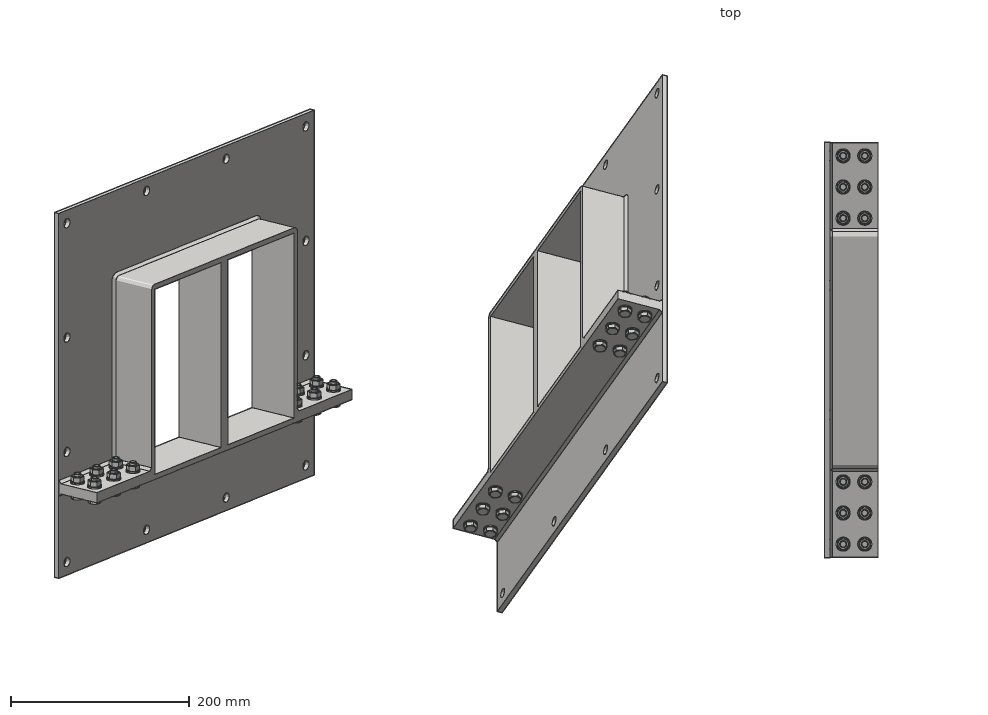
import cadquery as cq
import math

plate_width = 465.0
plate_height = 430.0
sheet = 6.0
total_depth = 60.0

frame_half_width = 132.5
frame_bottom = 106.0
frame_top = 330.0
rib_width = 2 * sheet
window_half_width = frame_half_width - sheet
window_top = frame_top - sheet
window_width = window_half_width - rib_width / 2

flange_half_length = 232.0
flange_top = frame_bottom + sheet
flange_bottom = frame_bottom - sheet
weld_leg = 3.3

mount_hole_diameter = 10.5
mount_hole_edge = 15.5
mount_hole_pitch_z = 135.0

bolt_pitch_x = 24.0
bolt_pitch_y = 35.0
bolt_diameter = 8.0
bolt_tip_diameter = 6.5
bolt_tip_length = 3.3
washer_diameter = 16.0
washer_thickness = 1.6
hex_across_flats = 13.0
hex_face_diameter = 11.5
hex_chamfer_angle = 20.0
nut_height = 6.5
head_height = 5.0


def box(x_range, y_range, z_range):
    """Box spanning the given (low, high) ranges."""
    lows, highs = zip(x_range, y_range, z_range)
    size = [high - low for low, high in zip(lows, highs)]
    return cq.Workplane("XY").box(*size, centered=False).translate(lows)


def face_plate():
    return box((0, sheet), (-plate_width / 2, plate_width / 2), (0, plate_height))


def frame_block():
    """Solid frame with rounded upper corners and a fillet weld around it behind the plate."""
    y_range = (-frame_half_width, frame_half_width)
    block = box((0, total_depth), y_range, (frame_bottom, frame_top))
    block = block.edges("|X and >Z").fillet(sheet)
    outline = block.faces("<X").wires().translate((sheet, 0, 0))
    weld = outline.toPending().offset2D(weld_leg).extrude(weld_leg, taper=45)
    return block.union(weld)


def windows():
    """Two openings left and right of the centre rib."""
    centre_z = (frame_bottom + window_top) / 2
    centre_y = (rib_width + window_width) / 2
    return (
        cq.Workplane("YZ", origin=(0, 0, centre_z))
        .pushPoints([(-centre_y, 0), (centre_y, 0)])
        .rect(window_width, window_top - frame_bottom)
        .extrude(total_depth)
    )


def weld_along_y(z, up, y_start, y_end):
    """Triangular bead in the corner between the plate back and a flange face at height z."""
    return (
        cq.Workplane("XZ", origin=(sheet, y_end, z))
        .polyline([(0, 0), (weld_leg, 0), (0, up * weld_leg)])
        .close()
        .extrude(y_end - y_start)
    )


def upper_flange():
    """Upper flange on the +Y side with its welds to the plate and to the frame side."""
    flange = box((0, total_depth), (frame_half_width, flange_half_length), (frame_bottom, flange_top))
    side_weld = (
        cq.Workplane("YZ", origin=(sheet, frame_half_width, flange_top))
        .polyline([(0, 0), (weld_leg, 0), (0, weld_leg)])
        .close()
        .extrude(total_depth - sheet)
    )
    plate_weld = weld_along_y(flange_top, 1, frame_half_width, flange_half_length)
    return flange.union(side_weld).union(plate_weld)


def lower_flange():
    y_range = (-flange_half_length, flange_half_length)
    flange = box((0, total_depth), y_range, (flange_bottom, frame_bottom))
    return flange.union(weld_along_y(flange_bottom, -1, *y_range))


def mount_holes():
    y_edge = plate_width / 2 - mount_hole_edge
    z_low = mount_hole_edge
    z_high = plate_height - mount_hole_edge
    points = []
    for z in (z_low, z_high):
        points += [(y, z) for y in (-y_edge, -y_edge / 3, y_edge / 3, y_edge)]
    for row in (1, 2):
        points += [(y, z_high - row * mount_hole_pitch_z) for y in (-y_edge, y_edge)]
    return cq.Workplane("YZ").pushPoints(points).circle(mount_hole_diameter / 2).extrude(sheet)


def hexagon(height):
    """Hexagon with corners along Y, its top corners turned down to the face circle."""
    corner_radius = hex_across_flats / 2 / math.cos(math.radians(30))
    face_radius = hex_face_diameter / 2
    drop = (corner_radius - face_radius) * math.tan(math.radians(hex_chamfer_angle))
    turned = (
        cq.Workplane("XZ")
        .lineTo(corner_radius, 0)
        .lineTo(corner_radius, height - drop)
        .lineTo(face_radius, height)
        .lineTo(0, height)
        .close()
        .revolve(360, (0, 0), (0, 1))
    )
    prism = cq.Workplane("XY").polygon(6, 2 * corner_radius).extrude(height)
    return prism.rotate((0, 0, 0), (0, 0, 1), 90).intersect(turned)


def nut_hexagon():
    """Nut body, chamfered on both ends."""
    body = hexagon(nut_height)
    return body.intersect(body.mirror("XY").translate((0, 0, nut_height)))


def on_washer(body):
    """Body sitting on a washer whose underside is at Z = 0."""
    washer = cq.Workplane("XY").circle(washer_diameter / 2).extrude(washer_thickness)
    return washer.union(body.translate((0, 0, washer_thickness)))


def bolt():
    """Bolt through both flanges on the Z axis, with its nut above and its head below."""
    nut = on_washer(nut_hexagon()).translate((0, 0, flange_top))
    head = on_washer(hexagon(head_height)).mirror("XY").translate((0, 0, flange_bottom))
    tip_top = flange_top + washer_thickness + nut_height + bolt_tip_length
    shank = (
        cq.Workplane("XY", origin=(0, 0, flange_bottom))
        .circle(bolt_diameter / 2)
        .extrude(tip_top - flange_bottom)
        .faces(">Z")
        .chamfer((bolt_diameter - bolt_tip_diameter) / 2)
    )
    return shank.union(nut).union(head)


def bolt_points():
    """Bolt centres: two rows of three, centred on the exposed area of each upper flange."""
    centre_x = (sheet + total_depth) / 2
    centre_y = (frame_half_width + flange_half_length) / 2
    return [
        (centre_x + row * bolt_pitch_x / 2, side * (centre_y + step * bolt_pitch_y))
        for side in (-1, 1)
        for step in (-1, 0, 1)
        for row in (-1, 1)
    ]


flange_pair = upper_flange().union(upper_flange().mirror("XZ"))
result = face_plate().union(frame_block()).union(flange_pair)
result = result.cut(windows()).union(lower_flange()).cut(mount_holes())

one_bolt = bolt()
for x, y in bolt_points():
    result = result.union(one_bolt.translate((x, y, 0)))